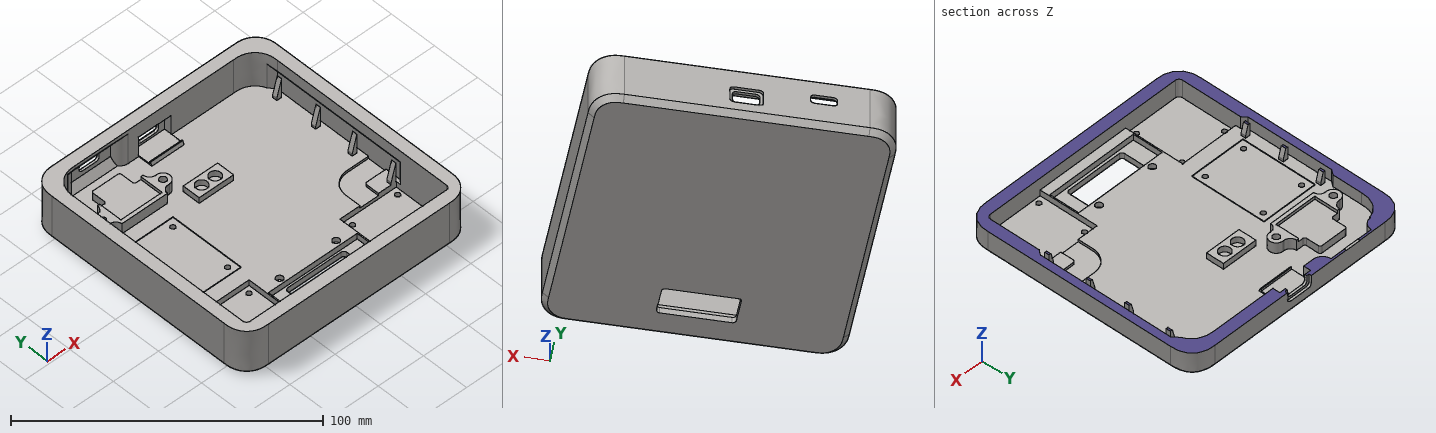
import cadquery as cq
CASE_SIZE = 100.0
CASE_HEIGHT = 20.0
CORNER_RADIUS = 10.0
CORNER_EASE = 0.314
BOTTOM_CHAMFER = 2.0
WALL = 5.0
FLOOR_Z = 5.0
FRONT_CORNER_RADIUS = 1.6
INNER_HALF = CASE_SIZE / 2 - WALL
OVERCUT = 1.0

SCREW_DIAMETER = 2.0
LARGE_SCREW_DIAMETER = 2.8
SCREW_DEPTH = 2.0

BOARD_SIZE = (24.0, 31.6)
BOARD_CENTER = (-29.9, 1.75)
BOARD_DEPTH = 0.3
BOARD_HOLE_PITCH = (18.0, 25.4)

CORNER_POCKET_SIZE = 24.9
CORNER_POCKET_Z = 2.5
CORNER_HOLE_PITCH = 20.0
LEFT_HOLES_CENTER = (-32.55, -32.65)
RIGHT_HOLES_CENTER = (32.95, -32.9)

DISPLAY_POCKET_SIZE = (39.2, 12.6)
DISPLAY_CENTER_Y = -34.9
DISPLAY_POCKET_Z = 2.5
DISPLAY_WINDOW_SIZE = (26.0, 10.7)
DISPLAY_WINDOW_CENTER_Y = -34.75
DISPLAY_WINDOW_RADIUS = 1.2
DISPLAY_HOLE_SPACING = 25.0
DISPLAY_HOLE_Y = -26.3

BLOCK_SIZE = (15.2, 7.4)
BLOCK_CENTER_Y = 19.9
BLOCK_TOP_Z = 7.5
SOCKET_DIAMETER = 4.7
SOCKET_SPACING = 6.0

MOUNT_X = -25.0
MOUNT_Y = 28.8
MOUNT_WIDTH = 20.2
MOUNT_BACK_Y = 34.6
MOUNT_FRONT_Y = 23.2
MOUNT_TOP_Z = 9.5
SEAT_Z = 8.2
SEAT_WIDTH = 18.2
SEAT_FRONT_Y = 24.7
EAR_RADIUS = 2.95
EAR_SPACING = 26.8
TONGUE_WIDTH = 12.5
TONGUE_BACK_Y = 41.4
TONGUE_RADIUS = 0.8

PLUG_DEPTH = 4.0
PLUG_SIDE_RADIUS = PLUG_DEPTH
PLUG_WIDTH = 18.8
PLUG_BOTTOM_Z = 8.1
PLUG_TOP_Z = 13.2
FLARE_SLOPE = 1.28
PORT_SIZE = (8.8, 3.8)
PLUG_PORT_Z = 11.9
PORT_RADIUS = 1.4

SOCKET_RECESS_X = 0.2
SOCKET_RECESS_WIDTH = 14.3
SOCKET_RECESS_DEPTH = 3.0
SOCKET_RECESS_TOP_Z = 13.7
MIDDLE_PORT_SIZE = (9.0, 5.0)
MIDDLE_PORT_Z = 9.0
PORT_RELIEF_MARGIN = 1.0
PORT_RELIEF_DEPTH = 1.0
SHELF_Z = 5.5
LIP_FRONT_Y = 38.9
LIP_TOP_Y = 39.5
LIP_BACK_Y = 39.9
LIP_TOP_Z = 6.4

PANEL_DEPTH = 1.5
PANEL_REACH = 4.0
RIGHT_PANEL_Y = (-20.2, 36.7)
LEFT_PANEL_Y = (-16.0, 20.5)
PANEL_TOP_Z = 13.0
RIB_THICKNESS = 2.0
RIB_INNER_X = 42.7
RIB_OUTER_X = 44.8
RIB_NOSE_Z = 6.0
RIB_TOP_Z = 13.4
RIGHT_RIB_Y = (34.0, 16.0, -1.0, -19.1)
LEFT_RIB_Y = (18.3, 1.9, -14.6)

CHANNEL_X = (28.95, 37.1)
CHANNEL_Y = (-5.6, -13.75)
CHANNEL_Z = 4.0
CHANNEL_OUTER_RADIUS = 8.0
CHANNEL_INNER_RADIUS = 1.0


def block(x_range, y_range, z_range):
    """Box between the given limits along each axis."""
    (x0, x1), (y0, y1), (z0, z1) = x_range, y_range, z_range
    return cq.Workplane("XY", origin=(x0, y0, z0)).box(x1 - x0, y1 - y0, z1 - z0, centered=False)


def centered_block(size, center, z_range):
    """Upright block with its plan centre and height range given."""
    z0, z1 = z_range
    return cq.Workplane("XY", origin=(*center, z0)).rect(*size).extrude(z1 - z0)


def pins(points, diameter, z_range):
    """Upright cylinders at the given plan points."""
    z0, z1 = z_range
    return cq.Workplane("XY", origin=(0, 0, z0)).pushPoints(points).circle(diameter / 2).extrude(z1 - z0)


def grid(center, pitch):
    """The four corners of a rectangle around a centre."""
    (cx, cy), (px, py) = center, pitch
    return [(cx + i * px / 2, cy + j * py / 2) for i in (-1, 1) for j in (-1, 1)]


def smooth_corner(half, x_sign, y_sign):
    """Control points of a corner curve that leaves both sides with no jump in curvature."""
    near = half - CORNER_RADIUS
    first = near + CORNER_RADIUS * CORNER_EASE
    second = near + 2 * CORNER_RADIUS * CORNER_EASE
    along = [(near, half), (first, half), (second, half)]
    points = along + [(y, x) for x, y in reversed(along)]
    return [(x_sign * x, y_sign * y) for x, y in points]


def case_outline():
    """Closed square outline with four smooth corners, drawn clockwise from the back left."""
    half = CASE_SIZE / 2
    corners = [
        smooth_corner(half, 1, 1),
        smooth_corner(half, 1, -1)[::-1],
        smooth_corner(half, -1, -1),
        smooth_corner(half, -1, 1)[::-1],
    ]
    outline = cq.Workplane("XY").moveTo(*corners[-1][-1])
    for corner in corners:
        outline = outline.lineTo(*corner[0]).bezier(corner)
    return outline.wire()


def cavity_outline():
    """Closed cavity outline: smooth corners at the back, square ones at the front."""
    half = INNER_HALF
    back_right = smooth_corner(half, 1, 1)
    back_left = smooth_corner(half, -1, 1)[::-1]
    outline = cq.Workplane("XY", origin=(0, 0, FLOOR_Z)).moveTo(*back_left[-1])
    outline = outline.lineTo(*back_right[0]).bezier(back_right)
    outline = outline.lineTo(half, -half).lineTo(-half, -half)
    return outline.lineTo(*back_left[0]).bezier(back_left).wire()


def case():
    """Square tray with a chamfered bottom edge and a floor."""
    outer = case_outline().extrude(CASE_HEIGHT).faces("<Z").edges().chamfer(BOTTOM_CHAMFER)
    cavity = cavity_outline().extrude(CASE_HEIGHT - FLOOR_Z)
    front_corners = cq.selectors.BoxSelector(
        (-CASE_SIZE, -CASE_SIZE, FLOOR_Z),
        (CASE_SIZE, OVERCUT - INNER_HALF, CASE_HEIGHT),
    )
    cavity = cavity.edges("|Z").edges(front_corners).fillet(FRONT_CORNER_RADIUS)
    return outer.cut(cavity)


def cut_board_pocket(body):
    """Shallow board seat in the floor with a screw hole near each corner."""
    z_top = FLOOR_Z - BOARD_DEPTH
    body = body.cut(centered_block(BOARD_SIZE, BOARD_CENTER, (z_top, FLOOR_Z)))
    points = grid(BOARD_CENTER, BOARD_HOLE_PITCH)
    return body.cut(pins(points, SCREW_DIAMETER, (z_top - SCREW_DEPTH, z_top)))


def cut_corner_pockets(body):
    """Front corner pockets; each has screw holes except at the outer front corner."""
    for side, hole_center in ((-1, LEFT_HOLES_CENTER), (1, RIGHT_HOLES_CENTER)):
        center = side * (INNER_HALF - CORNER_POCKET_SIZE / 2)
        pocket = centered_block(
            (CORNER_POCKET_SIZE, CORNER_POCKET_SIZE),
            (center, CORNER_POCKET_SIZE / 2 - INNER_HALF),
            (CORNER_POCKET_Z, FLOOR_Z),
        )
        outer_edge = "|Z and <Y and <X" if side < 0 else "|Z and <Y and >X"
        body = body.cut(pocket.edges(outer_edge).fillet(FRONT_CORNER_RADIUS))
        corners = grid(hole_center, (CORNER_HOLE_PITCH, CORNER_HOLE_PITCH))
        points = [p for p in corners if p[1] > hole_center[1] or side * p[0] < side * hole_center[0]]
        body = body.cut(pins(points, SCREW_DIAMETER, (CORNER_POCKET_Z - SCREW_DEPTH, CORNER_POCKET_Z)))
    return body


def cut_display(body):
    """Display pocket with a window through the floor and two screw holes behind it."""
    pocket = centered_block(DISPLAY_POCKET_SIZE, (0, DISPLAY_CENTER_Y), (DISPLAY_POCKET_Z, FLOOR_Z))
    window = centered_block(DISPLAY_WINDOW_SIZE, (0, DISPLAY_WINDOW_CENTER_Y), (-OVERCUT, FLOOR_Z))
    window = window.edges("|Z").fillet(DISPLAY_WINDOW_RADIUS)
    points = [(side * DISPLAY_HOLE_SPACING / 2, DISPLAY_HOLE_Y) for side in (-1, 1)]
    holes = pins(points, LARGE_SCREW_DIAMETER, (FLOOR_Z - SCREW_DEPTH, FLOOR_Z))
    return body.cut(pocket).cut(window).cut(holes)


def add_socket_block(body):
    """Raised block with two round sockets down to the floor."""
    raised = centered_block(BLOCK_SIZE, (0, BLOCK_CENTER_Y), (FLOOR_Z, BLOCK_TOP_Z))
    points = [(side * SOCKET_SPACING / 2, BLOCK_CENTER_Y) for side in (-1, 1)]
    return body.union(raised).cut(pins(points, SOCKET_DIAMETER, (FLOOR_Z, BLOCK_TOP_Z)))


def add_connector_mount(body):
    """Raised mount with two flared screw ears, a sunken seat and a tongue level with the seat."""
    ear_back = MOUNT_Y + EAR_RADIUS
    ear_front = MOUNT_Y - EAR_RADIUS
    ears_x = [MOUNT_X + side * EAR_SPACING / 2 for side in (-1, 1)]
    ears = [(x, MOUNT_Y) for x in ears_x]
    height = (FLOOR_Z, MOUNT_TOP_Z)

    mount = block(ears_x, (MOUNT_FRONT_Y, MOUNT_BACK_Y), height)
    back_flare = MOUNT_BACK_Y - ear_back
    front_flare = ear_front - MOUNT_FRONT_Y
    for edge_y, flare in ((MOUNT_BACK_Y, back_flare), (MOUNT_FRONT_Y, front_flare)):
        for side in (-1, 1):
            flare_x = MOUNT_X + side * (MOUNT_WIDTH / 2 + flare)
            mount = mount.cut(pins([(flare_x, edge_y)], 2 * flare, height))
            past_flare = sorted((flare_x, flare_x + side * EAR_SPACING))
            inward = flare if edge_y < MOUNT_Y else -flare
            mount = mount.cut(block(past_flare, sorted((edge_y, edge_y + inward)), height))
    mount = mount.union(pins(ears, 2 * EAR_RADIUS, height))

    seat_x = (MOUNT_X - SEAT_WIDTH / 2, MOUNT_X + SEAT_WIDTH / 2)
    mount = mount.cut(block(seat_x, (SEAT_FRONT_Y, MOUNT_BACK_Y), (SEAT_Z, MOUNT_TOP_Z)))
    tongue_x = (MOUNT_X - TONGUE_WIDTH / 2, MOUNT_X + TONGUE_WIDTH / 2)
    tongue = block(tongue_x, (SEAT_FRONT_Y, TONGUE_BACK_Y), (FLOOR_Z, SEAT_Z))
    tongue = tongue.edges("|Z and >Y").fillet(TONGUE_RADIUS)
    for side in (-1, 1):
        root_x = MOUNT_X + side * (TONGUE_WIDTH / 2 + TONGUE_RADIUS)
        root_y = MOUNT_BACK_Y + TONGUE_RADIUS
        root = block(sorted((MOUNT_X, root_x)), (SEAT_FRONT_Y, root_y), (FLOOR_Z, SEAT_Z))
        tongue = tongue.union(root.cut(pins([(root_x, root_y)], 2 * TONGUE_RADIUS, height)))
    return body.union(mount).union(tongue).cut(pins(ears, LARGE_SCREW_DIAMETER, height))


def back_wall_port(size, center, depth):
    """Rounded opening that reaches inwards from the outside of the back wall by the given depth."""
    x, z = center
    port = cq.Workplane("XZ", origin=(x, CASE_SIZE / 2, z)).rect(*size).extrude(depth)
    return port.edges("|Y").fillet(PORT_RADIUS)


def cut_plug_recess(body):
    """Recess that flares open above and below on slopes and sideways on convex rounds."""
    front = INNER_HALF
    back = INNER_HALF + PLUG_DEPTH
    mouth = front - OVERCUT
    rise = FLARE_SLOPE * PLUG_DEPTH
    half = PLUG_WIDTH / 2
    left = MOUNT_X - half
    profile = [
        (mouth, PLUG_BOTTOM_Z - rise),
        (front, PLUG_BOTTOM_Z - rise),
        (back, PLUG_BOTTOM_Z),
        (back, PLUG_TOP_Z),
        (front, PLUG_TOP_Z + rise),
        (mouth, PLUG_TOP_Z + rise),
    ]
    full_width = PLUG_WIDTH + 2 * PLUG_SIDE_RADIUS
    sloped = cq.Workplane("YZ", origin=(left - PLUG_SIDE_RADIUS, 0, 0)).polyline(profile).close()
    sloped = sloped.extrude(full_width)
    side_posts = [(MOUNT_X + side * (half + PLUG_SIDE_RADIUS), back) for side in (-1, 1)]
    recess = sloped.cut(pins(side_posts, 2 * PLUG_SIDE_RADIUS, (0, CASE_HEIGHT)))
    above_floor = block((-CASE_SIZE, CASE_SIZE), (0, CASE_SIZE), (FLOOR_Z, CASE_HEIGHT))
    port = back_wall_port(PORT_SIZE, (MOUNT_X, PLUG_PORT_Z), WALL - PLUG_DEPTH)
    return body.cut(recess.intersect(above_floor)).cut(port)


def cut_socket_recess(body):
    """Square back wall recess, its port with a wider outer end, and the lipped shelf before it."""
    left = SOCKET_RECESS_X - SOCKET_RECESS_WIDTH / 2
    right = left + SOCKET_RECESS_WIDTH
    back = INNER_HALF + SOCKET_RECESS_DEPTH
    recess = block((left, right), (INNER_HALF, back), (SHELF_Z, SOCKET_RECESS_TOP_Z))
    port_center = (SOCKET_RECESS_X, MIDDLE_PORT_Z)
    port = back_wall_port(MIDDLE_PORT_SIZE, port_center, WALL - SOCKET_RECESS_DEPTH)
    relief_size = [length + 2 * PORT_RELIEF_MARGIN for length in MIDDLE_PORT_SIZE]
    relief = back_wall_port(relief_size, port_center, PORT_RELIEF_DEPTH)
    profile = [
        (LIP_FRONT_Y, FLOOR_Z),
        (LIP_TOP_Y, LIP_TOP_Z),
        (LIP_BACK_Y, LIP_TOP_Z),
        (LIP_BACK_Y, SHELF_Z),
        (INNER_HALF, SHELF_Z),
        (INNER_HALF, FLOOR_Z),
    ]
    shelf = cq.Workplane("YZ", origin=(left, 0, 0)).polyline(profile).close()
    shelf = shelf.extrude(SOCKET_RECESS_WIDTH)
    return body.cut(recess).cut(port).cut(relief).union(shelf)


def cut_panel_recess(body, side, y_range):
    """Shallow recess along a side wall; its ends and top flare open towards the cavity."""
    back = side * (INNER_HALF + PANEL_DEPTH)
    mouth = back - side * PANEL_REACH
    y0, y1 = y_range
    spread = FLARE_SLOPE * PANEL_REACH
    plan = [(back, y0), (back, y1), (mouth, y1 + spread), (mouth, y0 - spread)]
    section = [(back, FLOOR_Z), (back, PANEL_TOP_Z), (mouth, PANEL_TOP_Z + spread), (mouth, FLOOR_Z)]
    flared_ends = cq.Workplane("XY").polyline(plan).close().extrude(CASE_HEIGHT)
    flared_top = cq.Workplane("XZ", origin=(0, CASE_SIZE / 2, 0)).polyline(section).close()
    flared_top = flared_top.extrude(CASE_SIZE)
    return body.cut(flared_ends.intersect(flared_top))


def rib(side, center_y):
    """Upright tapered rib whose sloped face looks into the cavity."""
    profile = [
        (side * RIB_INNER_X, FLOOR_Z),
        (side * RIB_INNER_X, RIB_NOSE_Z),
        (side * RIB_OUTER_X, RIB_TOP_Z),
        (side * RIB_OUTER_X, FLOOR_Z),
    ]
    plane = cq.Workplane("XZ", origin=(0, center_y + RIB_THICKNESS / 2, 0))
    return plane.polyline(profile).close().extrude(RIB_THICKNESS)


def cut_cable_channel(body):
    """Bend that leads from the right wall recess into the front right pocket."""
    end_x = INNER_HALF + PANEL_DEPTH
    end_y = CORNER_POCKET_SIZE - INNER_HALF
    outer_x, inner_x = CHANNEL_X
    outer_y, inner_y = CHANNEL_Y
    height = (CHANNEL_Z, FLOOR_Z)
    bend_edge = "|Z and <X and >Y"
    channel = block((outer_x, end_x), (end_y, outer_y), height)
    channel = channel.edges(bend_edge).fillet(CHANNEL_OUTER_RADIUS)
    island = block((inner_x, end_x), (end_y, inner_y), height)
    island = island.edges(bend_edge).fillet(CHANNEL_INNER_RADIUS)
    return body.cut(channel.cut(island))


result = case()
result = cut_board_pocket(result)
result = cut_corner_pockets(result)
result = cut_display(result)
result = add_socket_block(result)
result = add_connector_mount(result)
result = cut_plug_recess(result)
result = cut_socket_recess(result)
result = cut_panel_recess(result, 1, RIGHT_PANEL_Y)
result = cut_panel_recess(result, -1, LEFT_PANEL_Y)
result = cut_cable_channel(result)
for rib_y in RIGHT_RIB_Y:
    result = result.union(rib(1, rib_y))
for rib_y in LEFT_RIB_Y:
    result = result.union(rib(-1, rib_y))